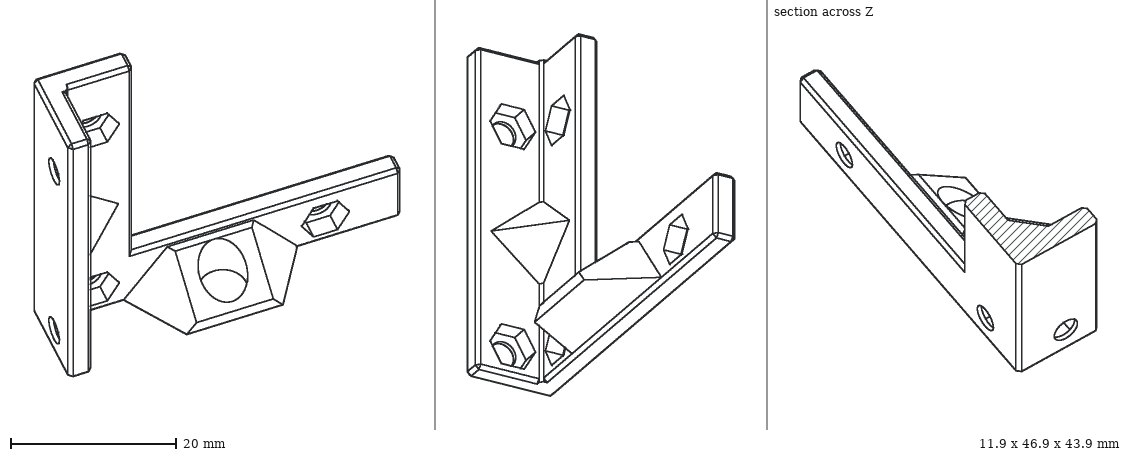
import cadquery as cq
import math

FLANGE_WIDTH = 11.9
LEG_LENGTH = 46.9
HEIGHT = 43.9
LEG_HEIGHT = 8.9
WALL = 3.0
EDGE_CHAMFER = 0.5
BEAD_LEG = 0.4
ROOT = WALL / 2

HOLE_DIAMETER = 3.4
HOLE_EDGE_OFFSET = 7.0
HOLE_PITCH = 30.0
LOWER_HOLE_Z = 4.0
UPPER_HOLE_Z = LOWER_HOLE_Z + HOLE_PITCH
FAR_HOLE_Y = HOLE_EDGE_OFFSET + HOLE_PITCH
NUT_SIDES = 6
NUT_ACROSS_FLATS = 5.4
NUT_ACROSS_CORNERS = NUT_ACROSS_FLATS / math.cos(math.pi / NUT_SIDES)
NUT_DEPTH = 2.4

BRACE_LEG = 7.0
BRACE_CENTER_Z = (LOWER_HOLE_Z + UPPER_HOLE_Z) / 2

SUPPORT_CENTER_Y = (HOLE_EDGE_OFFSET + FAR_HOLE_Y) / 2
SUPPORT_MARGIN = 1.0
SUPPORT_END_X = FLANGE_WIDTH - SUPPORT_MARGIN
SUPPORT_CREST_X = WALL + SUPPORT_MARGIN
SUPPORT_BASE_Z = EDGE_CHAMFER
SUPPORT_CREST_Z = 8.0
SUPPORT_RISE = SUPPORT_CREST_Z - SUPPORT_BASE_Z
SUPPORT_SLOPE_RUN = 8.9
SUPPORT_TOP_HALF_LENGTH = 5.0
SUPPORT_FLANK_SPREAD = 5.7

SOCKET_DIAMETER = 6.0
SOCKET_X = SUPPORT_CREST_X + SOCKET_DIAMETER / 2
SOCKET_FLOOR_Z = 2.0


def box(size_x, size_y, size_z):
    """Box with its lowest corner at the origin."""
    return cq.Workplane("XY").box(size_x, size_y, size_z, centered=False)


def make_leg_plate():
    """L-shaped plate along Y and Z, chamfered on every outer edge and around the inner outline."""
    outline = [
        (ROOT, 0),
        (LEG_LENGTH, 0),
        (LEG_LENGTH, LEG_HEIGHT),
        (FLANGE_WIDTH, LEG_HEIGHT),
        (FLANGE_WIDTH, HEIGHT),
        (ROOT, HEIGHT),
    ]
    plate = cq.Workplane("YZ").polyline(outline).close().extrude(WALL)
    inner_corner = cq.selectors.NearestToPointSelector((WALL / 2, FLANGE_WIDTH, LEG_HEIGHT))
    chamfered_edges = cq.selectors.InverseSelector(inner_corner)
    return plate.edges(chamfered_edges).chamfer(EDGE_CHAMFER)


def make_flange():
    """Rectangular plate along X and Z with every edge chamfered."""
    plate = box(FLANGE_WIDTH - ROOT, WALL, HEIGHT).translate((ROOT, 0, 0))
    return plate.edges().chamfer(EDGE_CHAMFER)


def make_corner_post():
    """Square post joining the plates: outer edges chamfered, a small bead on the inner corner."""
    oversize = box(2 * WALL, 2 * WALL, HEIGHT).faces("<X or <Y").edges().chamfer(EDGE_CHAMFER)
    post = oversize.intersect(box(WALL, WALL, HEIGHT))
    bead_tip = WALL + BEAD_LEG
    bead_outline = [
        (ROOT, ROOT),
        (bead_tip, ROOT),
        (bead_tip, WALL),
        (WALL, bead_tip),
        (ROOT, bead_tip),
    ]
    bead = cq.Workplane("XY").polyline(bead_outline).close().extrude(HEIGHT)
    return post.union(bead)


def make_corner_brace():
    """Brace in the inner corner, tapering equally above and below its middle."""
    reach = BRACE_LEG + 2 * (WALL - ROOT)
    half_height = reach * SUPPORT_RISE / SUPPORT_SLOPE_RUN
    diagonal_plane = cq.Plane(
        origin=(ROOT, ROOT, BRACE_CENTER_Z), xDir=(1, 1, 0), normal=(1, -1, 0)
    )
    ridge = (
        cq.Workplane(diagonal_plane)
        .polyline([(0, -half_height), (reach / math.sqrt(2), 0), (0, half_height)])
        .close()
        .extrude(reach, both=True)
    )
    corner = box(reach, reach, HEIGHT).translate((ROOT, ROOT, 0))
    return ridge.intersect(corner)


def support_section(x):
    """Trapezoid across the support at a given X, with its top edge on the slope."""
    fraction = 1 - (x - SUPPORT_CREST_X) / SUPPORT_SLOPE_RUN
    top_z = SUPPORT_BASE_Z + SUPPORT_RISE * fraction
    base_half = SUPPORT_TOP_HALF_LENGTH + SUPPORT_FLANK_SPREAD * fraction
    corners = [
        (-base_half, SUPPORT_BASE_Z),
        (base_half, SUPPORT_BASE_Z),
        (SUPPORT_TOP_HALF_LENGTH, top_z),
        (-SUPPORT_TOP_HALF_LENGTH, top_z),
    ]
    return cq.Wire.makePolygon(
        [cq.Vector(x, SUPPORT_CENTER_Y + y, z) for y, z in corners], close=True
    )


def make_support():
    """Wedge falling away from the leg, with raked flanks, a flat crest and a round socket."""
    sections = [support_section(ROOT), support_section(SUPPORT_END_X)]
    wedge = cq.Workplane(cq.Solid.makeLoft(sections, True))
    wedge = wedge.intersect(box(FLANGE_WIDTH, LEG_LENGTH, SUPPORT_CREST_Z))
    socket = (
        cq.Workplane("XY", origin=(SOCKET_X, SUPPORT_CENTER_Y, SOCKET_FLOOR_Z))
        .circle(SOCKET_DIAMETER / 2)
        .extrude(LEG_HEIGHT)
    )
    return wedge.cut(socket)


def make_leg_screw_cut(y, z):
    """Screw hole through the leg plate, along X, with its nut pocket on the inner face."""
    hole = cq.Workplane("YZ", origin=(0, y, z)).circle(HOLE_DIAMETER / 2).extrude(WALL)
    pocket = (
        cq.Workplane("YZ", origin=(WALL - NUT_DEPTH, y, z))
        .polygon(NUT_SIDES, NUT_ACROSS_CORNERS)
        .extrude(NUT_DEPTH)
    )
    return hole.union(pocket)


def make_flange_screw_cut(x, z):
    """The same screw cut turned to run through the flange, along Y."""
    return make_leg_screw_cut(-x, z).rotate((0, 0, 0), (0, 0, 1), 90)


result = make_leg_plate().union(make_flange()).union(make_corner_post())
result = result.union(make_corner_brace()).union(make_support())

leg_hole_places = [
    (HOLE_EDGE_OFFSET, LOWER_HOLE_Z),
    (HOLE_EDGE_OFFSET, UPPER_HOLE_Z),
    (FAR_HOLE_Y, LOWER_HOLE_Z),
]
for hole_y, hole_z in leg_hole_places:
    result = result.cut(make_leg_screw_cut(hole_y, hole_z))

for hole_z in (LOWER_HOLE_Z, UPPER_HOLE_Z):
    result = result.cut(make_flange_screw_cut(HOLE_EDGE_OFFSET, hole_z))